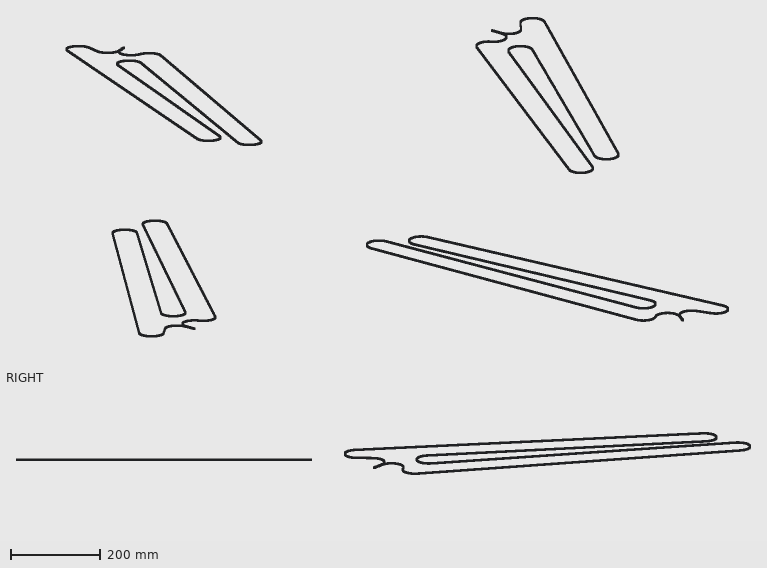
import cadquery as cq
import math


strip_height = 2.1
strip_width = 1.0
leg_spacing = 1.5
outer_bend_radius = 28.0
bend_radius = outer_bend_radius - strip_width / 2

point_tolerance = 0.0001

hook_y = -26.5
shoulder_y = -47.5
inner_bend_y = -121.0
lower_bend_y = -630.0

leg_x = leg_spacing / 2
hook_x = leg_x + bend_radius
left_shoulder_x = -89.5
inner_bend_x = 58.5
left_lower_x = 436.0
right_lower_x = 534.0
right_shoulder_x = hook_x + math.sqrt((2 * bend_radius) ** 2 - (hook_y - shoulder_y) ** 2)

LEFT_TURN = 1
RIGHT_TURN = -1

bends = [
    ((-hook_x, hook_y), RIGHT_TURN),
    ((left_shoulder_x, shoulder_y), LEFT_TURN),
    ((left_lower_x, lower_bend_y), LEFT_TURN),
    ((inner_bend_x, inner_bend_y), RIGHT_TURN),
    ((right_lower_x, lower_bend_y), LEFT_TURN),
    ((right_shoulder_x, shoulder_y), LEFT_TURN),
    ((hook_x, hook_y), RIGHT_TURN),
]


def point_on_bend(center, turn, heading):
    """Point of a bend where the strip runs along the given heading."""
    angle = heading - turn * math.pi / 2
    return (
        center[0] + bend_radius * math.cos(angle),
        center[1] + bend_radius * math.sin(angle),
    )


def tangent_heading(start_bend, end_bend):
    """Heading of the straight that leaves one bend and enters the next."""
    (start, start_turn), (end, end_turn) = start_bend, end_bend
    dx = end[0] - start[0]
    dy = end[1] - start[1]
    sine = bend_radius * (end_turn - start_turn) / math.hypot(dx, dy)
    sine = max(-1.0, min(1.0, sine))
    return math.atan2(dy, dx) - math.asin(sine)


def add_straight(path, position, target):
    """Extend the path to the target, unless it is already there."""
    if math.dist(position, target) < point_tolerance:
        return path
    return path.lineTo(*target)


def bent_strip(start, first_heading, run, last_heading, end):
    """Strip from start to end through a run of bends."""
    headings = [first_heading]
    headings += [tangent_heading(a, b) for a, b in zip(run, run[1:])]
    headings.append(last_heading)

    path = cq.Workplane("XY").moveTo(*start)
    position = start
    for (center, turn), enter, leave in zip(run, headings, headings[1:]):
        sweep_angle = turn * ((turn * (leave - enter)) % (2 * math.pi))
        entry = point_on_bend(center, turn, enter)
        middle = point_on_bend(center, turn, enter + sweep_angle / 2)
        position_after = point_on_bend(center, turn, leave)
        path = add_straight(path, position, entry)
        path = path.threePointArc(middle, position_after)
        position = position_after
    path = add_straight(path, position, end)

    direction = (math.cos(first_heading), math.sin(first_heading), 0)
    section = cq.Plane(origin=(start[0], start[1], 0), xDir=(0, 0, 1), normal=direction)
    return cq.Workplane(section).rect(strip_height, strip_width).sweep(path)


heading_down = -math.pi / 2
heading_up = math.pi / 2
left_count = 4
joint_heading = tangent_heading(bends[left_count - 1], bends[left_count])
joint = point_on_bend(*bends[left_count - 1], joint_heading)

left_half = bent_strip((-leg_x, 0), heading_down, bends[:left_count], joint_heading, joint)
right_half = bent_strip(joint, joint_heading, bends[left_count:], heading_up, (leg_x, 0))

result = left_half.union(right_half)